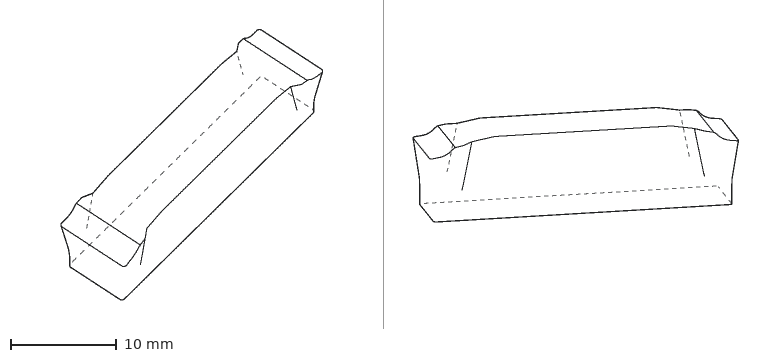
import cadquery as cq
import math

LENGTH = 29.95
HEIGHT = 8.1
BODY_WIDTH = 6.6
HEAD_WIDTH = 7.9

EDGE_HEIGHT = 6.4
LAND_END = (0.95, 6.53)
GROOVE_MIDDLE = (1.65, 6.77)
GROOVE_END = (2.2, 7.22)
CREST_END = (2.45, 7.4)
RAMP_LENGTH = 6.4
FLANK_ANGLE = 7.5
FLANK_BOTTOM = 2.8
BLEND_BOTTOM = 2.25

FLARE_FRONT = (0.8, 1.38)
FLARE_CORNER = (3.23, 2.95)
FLARE_BACK = (4.2, 7.7)

CORNER_RADIUS = 0.3
FLARE_RADIUS = 0.45
BIG = 4 * LENGTH

flank_angle = math.radians(FLANK_ANGLE)
flank_inset = (EDGE_HEIGHT - FLANK_BOTTOM) * math.tan(flank_angle)
blend_radius = (FLANK_BOTTOM - BLEND_BOTTOM) / math.sin(flank_angle)
base_inset = flank_inset + blend_radius * (1 - math.cos(flank_angle))
half_length = LENGTH / 2
half_body = BODY_WIDTH / 2
half_head = HEAD_WIDTH / 2


def at_end(point, side):
    """Place an end-profile point at the -Y (side = -1) or +Y (side = 1) end."""
    inset, height = point
    return (side * (half_length - inset), height)


def profile_prism():
    """Full-length side profile, extruded wider than the part and centred on X = 0."""
    edge = (0, EDGE_HEIGHT)
    flank_end = (flank_inset, FLANK_BOTTOM)
    blend_end = (base_inset, BLEND_BOTTOM)
    blend_middle = (
        base_inset - blend_radius * (1 - math.cos(flank_angle / 2)),
        BLEND_BOTTOM + blend_radius * math.sin(flank_angle / 2),
    )
    base_end = (base_inset, 0)
    ramp_end = (RAMP_LENGTH, HEIGHT)
    return (
        cq.Workplane("YZ")
        .moveTo(*at_end(base_end, -1))
        .lineTo(*at_end(blend_end, -1))
        .threePointArc(at_end(blend_middle, -1), at_end(flank_end, -1))
        .lineTo(*at_end(edge, -1))
        .lineTo(*at_end(LAND_END, -1))
        .threePointArc(at_end(GROOVE_MIDDLE, -1), at_end(GROOVE_END, -1))
        .lineTo(*at_end(CREST_END, -1))
        .lineTo(*at_end(ramp_end, -1))
        .lineTo(*at_end(ramp_end, 1))
        .lineTo(*at_end(CREST_END, 1))
        .lineTo(*at_end(GROOVE_END, 1))
        .threePointArc(at_end(GROOVE_MIDDLE, 1), at_end(LAND_END, 1))
        .lineTo(*at_end(edge, 1))
        .lineTo(*at_end(flank_end, 1))
        .threePointArc(at_end(blend_middle, 1), at_end(blend_end, 1))
        .lineTo(*at_end(base_end, 1))
        .close()
        .extrude(HEAD_WIDTH, both=True)
    )


def upright_block(width):
    """Block of the given width that holds the full length and height of the part."""
    return cq.Workplane().box(width, LENGTH, HEIGHT, centered=(True, True, False))


def outside_block(a, b, c):
    """Large block on the +X side of the plane through three points."""
    normal = (b - a).cross(c - a)
    if normal.x < 0:
        normal = -normal
    plane = cq.Plane(origin=a.toTuple(), normal=normal.toTuple())
    return cq.Workplane(plane).rect(BIG, BIG).extrude(BIG)


def flare_point(x, point):
    return cq.Vector(x, *at_end(point, -1))


def round_corners(solid):
    """Round the upright corner edges of the end faces."""
    limit = half_length - base_inset - CORNER_RADIUS / 2
    corners = []
    for edge in solid.edges().vals():
        start, end = edge.startPoint(), edge.endPoint()
        at_tip = min(abs(start.y), abs(end.y)) > limit
        upright = abs(start.z - end.z) > CORNER_RADIUS
        below_tip = max(start.z, end.z) < EDGE_HEIGHT + CORNER_RADIUS / 10
        if at_tip and upright and below_tip:
            corners.append(edge)
    return solid.newObject(corners).fillet(CORNER_RADIUS)


def head_envelope():
    """Side limits of the head at the -Y end, narrowing downward and backward into the body."""
    front = flare_point(half_body, FLARE_FRONT)
    corner = flare_point(half_body, FLARE_CORNER)
    back = flare_point(half_body, FLARE_BACK)
    edge_tip = flare_point(half_head, (CORNER_RADIUS, EDGE_HEIGHT))

    inset = FLARE_CORNER[0]
    ramp_slope = (HEIGHT - CREST_END[1]) / (RAMP_LENGTH - CREST_END[0])
    ridge_height = CREST_END[1] + ramp_slope * (inset - CREST_END[0])
    side_normal = (corner - front).cross(edge_tip - front)
    ridge_rise = ridge_height - FLARE_CORNER[1]
    ridge_x = half_body - ridge_rise * side_normal.z / side_normal.x
    ridge_top = flare_point(ridge_x, (inset, ridge_height))

    head = upright_block(2 * HEAD_WIDTH)
    for block in (outside_block(front, corner, edge_tip), outside_block(corner, back, ridge_top)):
        head = head.cut(block).cut(block.mirror("YZ"))

    ridge_middle = (corner + ridge_top) * 0.5
    for x in (ridge_middle.x, -ridge_middle.x):
        ridge = cq.selectors.NearestToPointSelector((x, ridge_middle.y, ridge_middle.z))
        head = head.edges(ridge).fillet(FLARE_RADIUS)
    return head


head = head_envelope()
envelope = upright_block(BODY_WIDTH).union(head).union(head.mirror("XZ"))
result = round_corners(profile_prism().intersect(envelope))